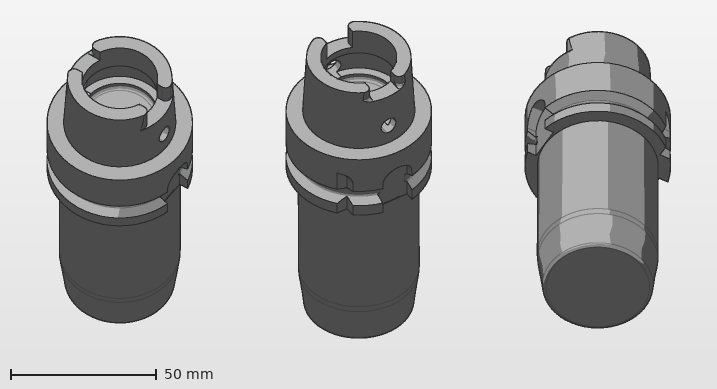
import cadquery as cq
import math

overall_length = 114.9
shank_length = 24.9
shank_base_radius = 19.25
shank_top_radius = 17.95

flange_radius = 24.97
flange_length = 26.0
groove_radius = 21.5
groove_centre_z = -18.2
groove_floor_width = 3.4
groove_mouth_width = 6.7
groove_root_radius = 0.5

body_radius = 20.75
nose_radius = 18.85
nose_taper_top_z = -74.1
nose_blend_radius = 21.0
nose_edge_radius = 1.2

bore_radius = 13.02
bore_lip_depth = 10.2
bore_depth = 22.5
bore_floor_fillet = 1.2
recess_radius = 16.04
recess_end_depth = 20.1

cross_hole_diameter = 6.0
cross_hole_z = 7.5

drive_slot_width = 10.54
drive_slot_shallow_depth = 4.5
drive_slot_deep_depth = 7.5
drive_flat_x = 16.06
drive_corner_radius = 2.0
drive_end_radius = 6.0
drive_floor_radius = 1.3

gripper_slot_width = 12.0
gripper_floor_x = 20.9
gripper_slot_top_z = -7.3

notch_floor_x = 15.9
notch_inner_y = 15.3
notch_radius = 4.0

shank_top_z = shank_length
bottom_z = shank_length - overall_length


def fillet_rings_at(solid, z, radius):
    """Round the circular edges that lie at height z."""
    reach = 2 * flange_radius
    tolerance = 0.01
    ring = cq.selectors.BoxSelector((-reach, -reach, z - tolerance), (reach, reach, z + tolerance))
    return solid.edges(ring).fillet(radius)


def make_body():
    mouth_half = groove_mouth_width / 2
    floor_half = groove_floor_width / 2
    points = [
        (0, bottom_z),
        (nose_radius, bottom_z),
        (body_radius, nose_taper_top_z),
        (body_radius, -flange_length),
        (flange_radius, -flange_length),
        (flange_radius, groove_centre_z - mouth_half),
        (groove_radius, groove_centre_z - floor_half),
        (groove_radius, groove_centre_z + floor_half),
        (flange_radius, groove_centre_z + mouth_half),
        (flange_radius, 0),
        (shank_base_radius, 0),
        (shank_top_radius, shank_top_z),
        (0, shank_top_z),
    ]
    body = cq.Workplane("XZ").polyline(points).close().revolve(360, (0, 0), (0, 1))
    body = body.faces("<Z").edges().fillet(nose_edge_radius)
    body = fillet_rings_at(body, nose_taper_top_z, nose_blend_radius)
    for root_z in (groove_centre_z - floor_half, groove_centre_z + floor_half):
        body = fillet_rings_at(body, root_z, groove_root_radius)
    return body


def make_bore():
    bore = cq.Workplane("XY", origin=(0, 0, shank_top_z)).circle(bore_radius).extrude(-bore_depth)
    bore = bore.faces("<Z").edges().fillet(bore_floor_fillet)
    recess = cq.Workplane("XY", origin=(0, 0, shank_top_z - bore_lip_depth)).circle(recess_radius)
    return bore.union(recess.extrude(bore_lip_depth - recess_end_depth))


def make_cross_hole():
    hole = cq.Workplane("YZ").center(0, cross_hole_z).circle(cross_hole_diameter / 2)
    return hole.extrude(shank_base_radius + 1, both=True)


def make_drive_slot(depth, floor_radius):
    """Slot on the +X side; past its rounded corners it opens out around the key ends."""
    half_width = drive_slot_width / 2
    floor_z = shank_top_z - depth
    corner_x = drive_flat_x - drive_corner_radius
    crest_y = half_width + drive_corner_radius

    end_centre_x = drive_flat_x - drive_end_radius
    end_centre_distance = math.hypot(end_centre_x, crest_y)
    exit_scale = 1 + drive_end_radius / end_centre_distance
    exit_x = end_centre_x * exit_scale
    exit_y = crest_y * exit_scale
    outside_scale = flange_radius / (end_centre_distance + drive_end_radius)
    outside_x = exit_x * outside_scale
    outside_y = exit_y * outside_scale

    cutter = (
        cq.Workplane("XY", origin=(0, 0, floor_z))
        .moveTo(0, -half_width)
        .lineTo(corner_x, -half_width)
        .radiusArc((drive_flat_x, -crest_y), drive_corner_radius)
        .radiusArc((exit_x, -exit_y), drive_end_radius)
        .lineTo(outside_x, -outside_y)
        .lineTo(flange_radius, -outside_y)
        .lineTo(flange_radius, outside_y)
        .lineTo(outside_x, outside_y)
        .lineTo(exit_x, exit_y)
        .radiusArc((drive_flat_x, crest_y), drive_end_radius)
        .radiusArc((corner_x, half_width), drive_corner_radius)
        .lineTo(0, half_width)
        .close()
        .extrude(depth)
    )
    if floor_radius > 0:
        flat_slot = cq.Workplane("XY").box(
            flange_radius, drive_slot_width, depth, centered=(False, True, False)
        )
        cutter = cutter.faces("<Z").edges().fillet(floor_radius)
        cutter = cutter.union(flat_slot.translate((0, 0, floor_z)))
    return cutter


def make_gripper_slot():
    r = gripper_slot_width / 2
    arc_z = gripper_slot_top_z - r
    return (
        cq.Workplane("YZ", origin=(gripper_floor_x, 0, 0))
        .moveTo(-r, -flange_length)
        .lineTo(-r, arc_z)
        .threePointArc((0, gripper_slot_top_z), (r, arc_z))
        .lineTo(r, -flange_length)
        .close()
        .extrude(flange_radius)
    )


def make_orientation_notch():
    r = notch_radius
    top = gripper_slot_top_z
    return (
        cq.Workplane("YZ", origin=(-notch_floor_x, 0, 0))
        .moveTo(notch_inner_y, -flange_length)
        .lineTo(notch_inner_y, top - r)
        .radiusArc((notch_inner_y + r, top), r)
        .lineTo(notch_inner_y + r, -flange_length)
        .close()
        .extrude(-flange_radius)
    )


shallow_slot = make_drive_slot(drive_slot_shallow_depth, drive_floor_radius)
gripper_slot = make_gripper_slot()
result = (
    make_body()
    .cut(make_bore())
    .cut(make_cross_hole())
    .cut(make_drive_slot(drive_slot_deep_depth, 0))
    .cut(shallow_slot.mirror("YZ"))
    .cut(gripper_slot)
    .cut(gripper_slot.mirror("YZ"))
    .cut(make_orientation_notch())
)